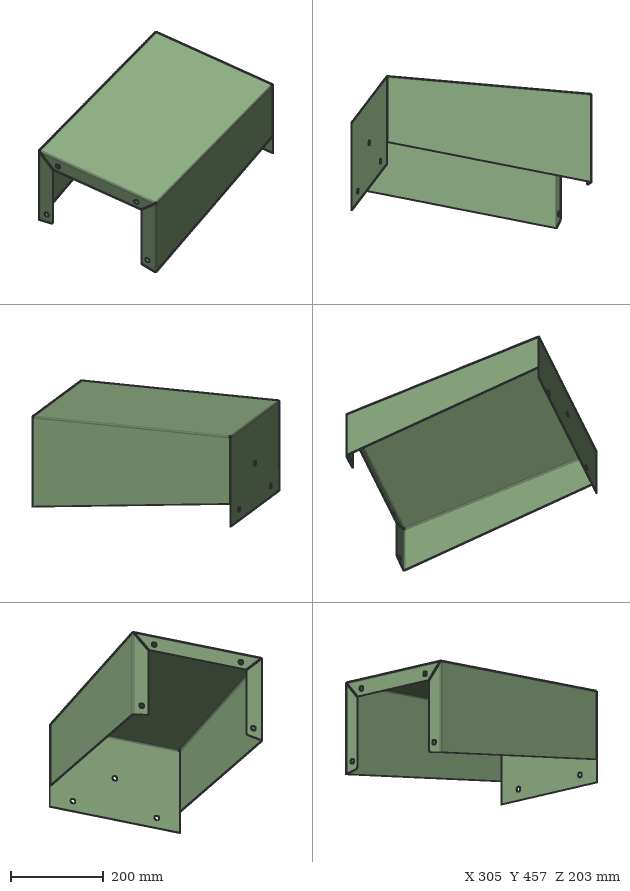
import cadquery as cq
import math

width = 305.0
depth = 457.0
height = 203.0

sheet = 1.5
bend_radius = 3.0
inner_bend_radius = bend_radius - sheet
seam_gap = 0.5
miter_gap = 2.0

flange = 38.0
flange_end_angle = 10.0
flange_corner_radius = 5.5

rear_wall_lift = 50.7

hole_diameter = 11.0
low_hole_height = 25.0
side_flange_hole_x = 130.8
top_flange_hole_x = 101.5
top_flange_hole_drop = 22.0
rear_hole_x = 98.5

half_width = width / 2
half_depth = depth / 2
half_height = height / 2
cut_margin = 4.5
flange_cut_depth = bend_radius


def rounded_block(x_size, y_size, z_size, radius):
    """Block with rounded top edges and rounded front vertical edges."""
    block = cq.Workplane("XY").box(x_size, y_size, z_size)
    return block.faces(">Z or <Y").edges("not(<Z)").fillet(radius)


def folded_shell():
    """Thin-walled box, open underneath, with bent edges."""
    outer = rounded_block(width, depth, height, bend_radius)
    inner = rounded_block(width - 2 * sheet, depth - 2 * sheet, height, inner_bend_radius)
    return outer.cut(inner.translate((0, 0, -sheet)))


def front_cutter(outline):
    """Extrude a closed XZ outline through the front flanges only."""
    return outline.extrude(flange_cut_depth, both=True).translate((0, -half_depth, 0))


def front_opening():
    """Opening between the flanges, flaring at the slanted lower flange ends."""
    inner_x = half_width - flange
    bend_x = half_width - bend_radius
    low_z = -half_height
    top_z = half_height - flange
    end_z = low_z + (bend_x - inner_x) * math.tan(math.radians(flange_end_angle))
    outline = cq.Workplane("XZ").polyline([
        (-bend_x, low_z),
        (-inner_x, end_z),
        (-inner_x, top_z),
        (inner_x, top_z),
        (inner_x, end_z),
        (bend_x, low_z),
    ]).close()
    end_corners = cq.selectors.BoxSelector(
        (-inner_x - cut_margin, -depth, end_z - cut_margin),
        (inner_x + cut_margin, 0, end_z + cut_margin),
    )
    return front_cutter(outline).edges("|Y").edges(end_corners).fillet(flange_corner_radius)


def miter_cut(side):
    """Slit at 45 degrees from an upper front corner to the opening."""
    slit = front_cutter(cq.Workplane("XZ").rect(2 * flange * math.sqrt(2), miter_gap))
    slit = slit.rotate((0, 0, 0), (0, 1, 0), -side * 45)
    return slit.translate((side * half_width, 0, half_height))


def corner_relief(side, end):
    """Square notch where the bends meet at an upper corner."""
    notch = cq.Workplane("XY").box(2 * bend_radius, 2 * bend_radius, 2 * bend_radius)
    return notch.translate((side * half_width, end * half_depth, half_height))


def wall_slope():
    """Wedge below the side walls, stopping short of the rear plate."""
    front_y = -half_depth + bend_radius
    rear_y = half_depth - sheet
    return (
        cq.Workplane("YZ")
        .polyline([
            (front_y, -half_height),
            (rear_y, -half_height),
            (rear_y, -half_height + rear_wall_lift),
        ])
        .close()
        .extrude(half_width + cut_margin, both=True)
    )


def rear_seam(side):
    """Narrow gap between a side wall and the rear plate."""
    seam = cq.Workplane("XY").box(2 * bend_radius, seam_gap, height)
    seam_y = half_depth - sheet - seam_gap / 2
    return seam.translate((side * half_width, seam_y, -bend_radius))


def holes(points, y):
    """Screw holes along Y through one sheet thickness at the given Y."""
    drill = cq.Workplane("XZ").pushPoints(points).circle(hole_diameter / 2)
    return drill.extrude(flange_cut_depth, both=True).translate((0, y, 0))


result = folded_shell().cut(front_opening()).cut(wall_slope())

for side in (-1, 1):
    result = result.cut(miter_cut(side)).cut(rear_seam(side))
    for end in (-1, 1):
        result = result.cut(corner_relief(side, end))

low_hole_z = -half_height + low_hole_height
top_hole_z = half_height - top_flange_hole_drop
front_holes = [(side * side_flange_hole_x, low_hole_z) for side in (-1, 1)]
front_holes += [(side * top_flange_hole_x, top_hole_z) for side in (-1, 1)]
rear_holes = [(side * rear_hole_x, low_hole_z) for side in (-1, 1)]
rear_holes.append((0, 0))
result = result.cut(holes(front_holes, -half_depth)).cut(holes(rear_holes, half_depth))